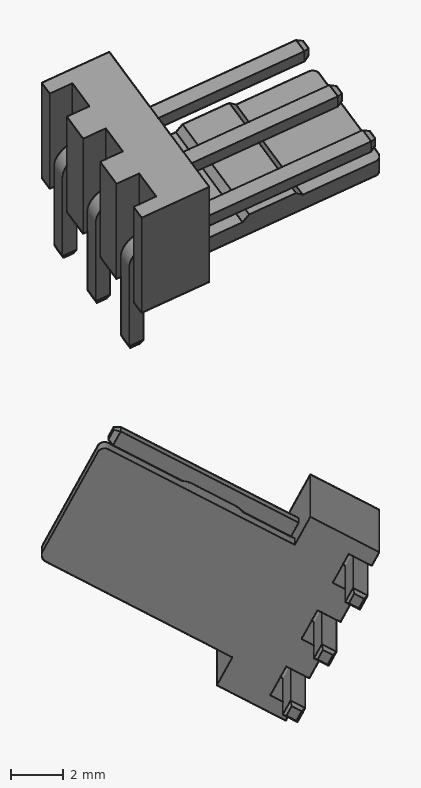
import cadquery as cq

total_length = 11.4
pin_count = 3
pitch = 2.54
housing_width = 7.62
housing_depth = 3.0
housing_height = 5.9

slot_width = 1.3
slot_depth = 1.0

pin_size = 0.64
pin_top = 2.74
pin_bottom = -3.4
pin_end = 10.98
bend_inner_radius = 0.3
bend_outer_radius = bend_inner_radius + pin_size
tip_inset = 0.1
tip_length_lower = 0.3
tip_length_rear = 0.25

tongue_width = (pin_count - 1) * pitch
tongue_thickness = 0.9
tongue_corner_radius = 0.3
ridge_height = 0.3
ridge_start = 5.21
ridge_end = 7.88

pin_positions = [(i - (pin_count - 1) / 2) * pitch for i in range(pin_count)]


def make_housing():
    housing = cq.Workplane("XY").box(
        housing_width, housing_depth, housing_height, centered=(True, False, False)
    )
    for x in pin_positions:
        slot = cq.Workplane("XY").box(
            slot_width, slot_depth, housing_height, centered=(True, False, False)
        )
        housing = housing.cut(slot.translate((x, 0, 0)))
    return housing


def make_tongue():
    tongue_length = total_length - housing_depth
    tongue = (
        cq.Workplane("XY")
        .box(tongue_width, tongue_length, tongue_thickness, centered=(True, False, False))
        .translate((0, housing_depth, 0))
        .edges("|Z and >Y")
        .fillet(tongue_corner_radius)
    )
    ridge_top = tongue_thickness + ridge_height
    ridge = (
        cq.Workplane("YZ")
        .moveTo(ridge_start, tongue_thickness)
        .lineTo(ridge_start + ridge_height, ridge_top)
        .lineTo(ridge_end - ridge_height, ridge_top)
        .lineTo(ridge_end, tongue_thickness)
        .close()
        .extrude(tongue_width / 2, both=True)
    )
    return tongue.union(ridge)


def make_tip(plane, length):
    """Tapered square tip growing along the normal of the plane."""
    end_size = pin_size - 2 * tip_inset
    return (
        cq.Workplane(plane)
        .rect(pin_size, pin_size)
        .workplane(offset=length)
        .rect(end_size, end_size)
        .loft(ruled=True)
    )


def make_pin():
    lower_shoulder = pin_bottom + tip_length_lower
    rear_shoulder = pin_end - tip_length_rear
    bend_z = pin_top - bend_outer_radius
    shank = (
        cq.Workplane("YZ")
        .moveTo(0, lower_shoulder)
        .lineTo(0, bend_z)
        .radiusArc((bend_outer_radius, pin_top), bend_outer_radius)
        .lineTo(rear_shoulder, pin_top)
        .lineTo(rear_shoulder, pin_top - pin_size)
        .lineTo(bend_outer_radius, pin_top - pin_size)
        .radiusArc((pin_size, bend_z), -bend_inner_radius)
        .lineTo(pin_size, lower_shoulder)
        .close()
        .extrude(pin_size / 2, both=True)
    )
    lower_plane = cq.Plane((0, pin_size / 2, lower_shoulder), (1, 0, 0), (0, 0, -1))
    rear_plane = cq.Plane((0, rear_shoulder, pin_top - pin_size / 2), (1, 0, 0), (0, 1, 0))
    lower_tip = make_tip(lower_plane, tip_length_lower)
    rear_tip = make_tip(rear_plane, tip_length_rear)
    return shank.union(lower_tip).union(rear_tip)


result = make_housing().union(make_tongue())
for pin_x in pin_positions:
    result = result.union(make_pin().translate((pin_x, 0, 0)))